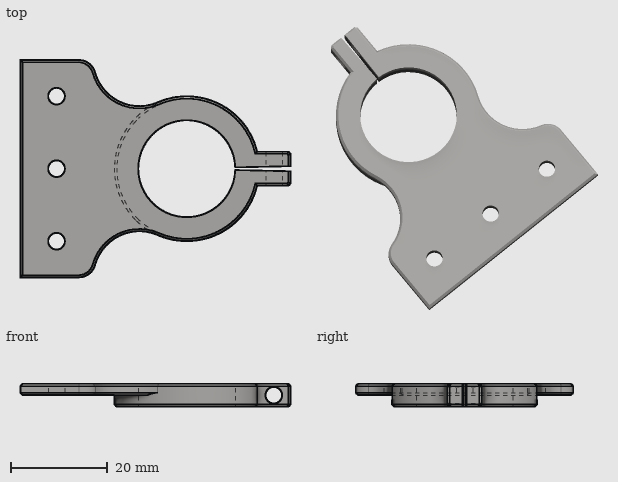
import cadquery as cq
import math

plate_width = 45.0
plate_thickness = 2.4
chamfer_size = 0.5
corner_radius = 3.5
waist_radius = 9.5

ring_center_x = 34.42
ring_radius = 15.0
bore_radius = 10.0
clamp_height = 2 * plate_thickness
tab_length = 6.5
tab_width = 7.1
tab_end_x = ring_center_x + ring_radius + tab_length

slot_width_at_bore = 0.5
slot_width_at_end = 1.0

hole_diameter = 3.4
mount_hole_x = 7.5
mount_hole_pitch = 15.0
tab_hole_inset = 3.5

waist_overlap = 0.001
waist_end_radius = ring_radius - waist_overlap
waist_offset_from_ring = 9.8
waist_center_x = ring_center_x - waist_offset_from_ring


def point_between(start, end, distance):
    """Point at the given distance from start on the way to end."""
    ratio = distance / math.dist(start, end)
    return (start[0] + ratio * (end[0] - start[0]), start[1] + ratio * (end[1] - start[1]))


def mirrored(point):
    return (point[0], -point[1])


def make_plate():
    """Back plate whose sides sweep through rounded corners and waists into the ring.

    Its front runs to the ring center, inside the clamp. The outer underside edges are chamfered.
    """
    half_width = plate_width / 2
    ring_center = (ring_center_x, 0)
    waist_center_y = math.sqrt(
        (waist_end_radius + waist_radius) ** 2 - (ring_center_x - waist_center_x) ** 2
    )
    waist_center = (waist_center_x, waist_center_y)
    corner_center_y = half_width - corner_radius
    corner_center_x = waist_center_x - math.sqrt(
        (corner_radius + waist_radius) ** 2 - (waist_center_y - corner_center_y) ** 2
    )
    corner_center = (corner_center_x, corner_center_y)

    corner_start = (corner_center_x, half_width)
    corner_end = point_between(corner_center, waist_center, corner_radius)
    corner_chord_middle = (
        (corner_start[0] + corner_end[0]) / 2,
        (corner_start[1] + corner_end[1]) / 2,
    )
    corner_middle = point_between(corner_center, corner_chord_middle, corner_radius)
    waist_middle = (waist_center_x, waist_center_y - waist_radius)
    waist_end = point_between(ring_center, waist_center, waist_end_radius)

    outline = (
        cq.Workplane("XY")
        .workplane(offset=-plate_thickness)
        .moveTo(0, half_width)
        .lineTo(*corner_start)
        .threePointArc(corner_middle, corner_end)
        .threePointArc(waist_middle, waist_end)
        .lineTo(*ring_center)
        .lineTo(*mirrored(waist_end))
        .threePointArc(mirrored(waist_middle), mirrored(corner_end))
        .threePointArc(mirrored(corner_middle), mirrored(corner_start))
        .lineTo(0, -half_width)
        .close()
    )
    plate = outline.extrude(plate_thickness)
    ring_center_corner = cq.selectors.NearestToPointSelector((*ring_center, -plate_thickness))
    inner_edges = plate.vertices(ring_center_corner).ancestors("Edge").vals()
    outer_edges = [edge for edge in plate.faces("<Z").edges().vals() if edge not in inner_edges]
    return plate.newObject(outer_edges).chamfer(chamfer_size)


def make_clamp():
    """Full-height ring with its clamping tab, with chamfered underside and tab corners."""
    base = cq.Workplane("XY").workplane(offset=-clamp_height)
    ring = base.center(ring_center_x, 0).circle(ring_radius).extrude(clamp_height)
    tab = (
        base.center(ring_center_x, 0)
        .rect(tab_end_x - ring_center_x, tab_width, centered=(False, True))
        .extrude(clamp_height)
        .edges("|Z and >X")
        .chamfer(chamfer_size)
    )
    return ring.union(tab).faces("<Z").chamfer(chamfer_size)


def make_bore():
    return (
        cq.Workplane("XY")
        .center(ring_center_x, 0)
        .circle(bore_radius)
        .extrude(-clamp_height)
    )


def make_slot():
    """Tapered slot from the bore out through the end of the tab."""
    bore_edge_x = ring_center_x + bore_radius
    return (
        cq.Workplane("XY")
        .polyline(
            [
                (ring_center_x, slot_width_at_bore / 2),
                (bore_edge_x, slot_width_at_bore / 2),
                (tab_end_x, slot_width_at_end / 2),
                (tab_end_x, -slot_width_at_end / 2),
                (bore_edge_x, -slot_width_at_bore / 2),
                (ring_center_x, -slot_width_at_bore / 2),
            ]
        )
        .close()
        .extrude(-clamp_height)
    )


def make_mount_holes():
    return (
        cq.Workplane("XY")
        .pushPoints([(mount_hole_x, row * mount_hole_pitch) for row in (-1, 0, 1)])
        .circle(hole_diameter / 2)
        .extrude(-plate_thickness)
    )


def make_tab_hole():
    """Clamping-screw hole across the tab, at mid height."""
    return (
        cq.Workplane("XZ")
        .center(tab_end_x - tab_hole_inset, -clamp_height / 2)
        .circle(hole_diameter / 2)
        .extrude(tab_width / 2, both=True)
    )


body = make_plate().union(make_clamp()).faces(">Z").chamfer(chamfer_size)
result = (
    body.cut(make_bore())
    .cut(make_slot())
    .cut(make_mount_holes())
    .cut(make_tab_hole())
)